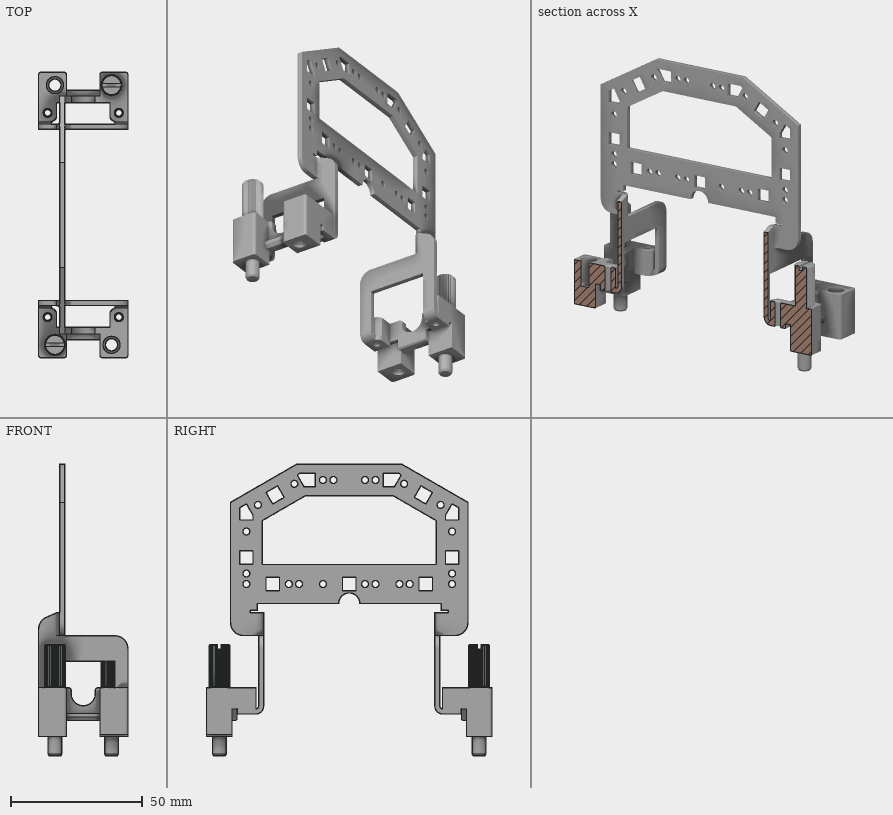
import cadquery as cq
import math

width = 34.0
length = 108.5
height = 110.7
half_width = width / 2
half_length = length / 2

sheet = 2.0
bend_inner = 1.1
bend_outer = bend_inner + sheet
sheet_corner = 5.0

frame_x = -9.0
frame_half = 45.0
frame_top_half = 19.9
slope = math.radians(30)
frame_border = 12.1
frame_bottom = 45.6
crossbar_bottom = 57.8
crossbar_top = 72.6
crossbar_half = 34.9
relief_radius = 4.0
slit_half = 37.5
slit_height = 0.9

side_inner = 32.4
side_outer = side_inner + sheet
bend_y = side_outer + bend_inner
bend_x = frame_x - bend_inner
tab_top = 54.4
tab_corner_z = 51.3
window_top = 35.9
leg_width = 5.0
foot_bottom = 15.8
foot_top = foot_bottom + sheet
foot_end = 42.4
bend_z = foot_top + bend_inner

block_top = 25.9
screw_block_bottom = 7.3
hole_block_bottom = 8.1
block_inner_x = 6.3
block_inner_y = 44.4
block_corner = 1.1
arm_inner_x = 10.1
arm_end_y = 35.3
arm_chamfer = 1.7

web_inner_y = 42.5
web_outer_y = 45.2
web_bottom = 13.4
web_chamfer = 0.5
saddle_radius = 4.5
saddle_bottom = 19.0
saddle_lip = 1.1
ledge_y = 47.4
ledge_top = 16.0
ledge_nose = 14.7
ledge_under_y = 46.4

screw_x = 10.7
screw_y = 49.3
bore_diameter = 6.5
bore_depth = 10.0
bore_through = 4.5
small_hole_x = 13.5
small_hole_y = 38.7
small_hole_diameter = 2.4
small_sink_diameter = 3.4
small_sink_depth = 0.5

head_diameter = 8.1
head_top = 42.2
head_chamfer = 0.4
knurl_teeth = 36
knurl_depth = 0.3
slot_width = 1.3
slot_depth = 1.7
pin_diameter = 5.3
pin_chamfer = 0.4
pin_chamfer_height = 0.8

pocket = 5.0
pocket_margin = 3.5
pocket_offset = pocket_margin + pocket / 2
column_y = frame_half - pocket_offset
column_pocket_z = 75.3
column_pocket_bottom = 89.6
crossbar_z = 65.2
crossbar_pocket_y = 29.0
slope_pocket_y = 28.1
top_pocket_y = 13.0
top_pocket_toe_y = 17.2
pin_hole = 2.5
slope_hole_ys = (20.8, 34.6)
column_hole_zs = (65.2, 69.2, 85.1)
top_hole_ys = (6.0, 10.0)
crossbar_hole_ys = (10.0, 19.0, 22.9)
crossbar_single_hole_y = 6.0


def block_of(x_range, y_range, z_range):
    """Box between the given limits."""
    size = [high - low for low, high in (x_range, y_range, z_range)]
    corner = (x_range[0], y_range[0], z_range[0])
    return cq.Workplane("XY").box(*size, centered=False).translate(corner)


def post(diameter, x, y, z_low, z_high):
    """Upright cylinder."""
    return cq.Workplane("XY", origin=(x, y, z_low)).circle(diameter / 2).extrude(z_high - z_low)


def with_mirror(solid):
    """Join a solid with its mirror image across the plane Y = 0."""
    return solid.union(solid.mirror("XZ"))


def slope_height(y, inset=0.0):
    """Height, at y, of the sloping outer edge moved inward by inset."""
    return height - (y - frame_top_half) * math.tan(slope) - inset / math.cos(slope)


def slope_reach(z, inset=0.0):
    """Y position, at height z, of the sloping outer edge moved inward by inset."""
    return frame_top_half + (height - z - inset / math.cos(slope)) / math.tan(slope)


def across_slope(y, z):
    """Point one pocket depth from (y, z), square to the sloping edge."""
    return (y + pocket * math.sin(slope), z + pocket * math.cos(slope))


def frame_plane(y=0.0, z=0.0):
    """Work plane on the frame face, with its origin at (y, z)."""
    return cq.Workplane("YZ", origin=(frame_x, y, z))


def frame_prism(points):
    """Outline in (y, z) carried through the frame thickness."""
    return frame_plane().polyline(points).close().extrude(sheet)


def frame_half_plate():
    """Outer shape of the +Y half, with the slits that free the bent tabs."""
    plate = frame_prism([
        (0, crossbar_bottom),
        (crossbar_half, crossbar_bottom),
        (crossbar_half, tab_top + slit_height),
        (slit_half, tab_top + slit_height),
        (slit_half, tab_top),
        (bend_y, tab_top),
        (bend_y, frame_bottom),
        (frame_half, frame_bottom),
        (frame_half, slope_height(frame_half)),
        (frame_top_half, height),
        (0, height),
    ])
    outer_corner = cq.NearestToPointSelector((frame_x + sheet / 2, frame_half, frame_bottom))
    return plate.edges("|X").edges(outer_corner).fillet(sheet_corner)


def square_pocket(y, z, turn=0.0):
    """Square cutter through the frame, turned by an angle in degrees."""
    return frame_plane(y, z).transformed(rotate=(0, 0, turn)).rect(pocket, pocket).extrude(sheet)


def corner_pockets():
    """The two clipped pockets where the sloping edge meets the column and the top."""
    column_inner = column_y - pocket / 2
    column_outer = column_y + pocket / 2
    column_toe = (column_inner, slope_height(column_inner, pocket_margin + pocket))
    column_pocket = frame_prism([
        (column_inner, column_pocket_bottom),
        column_toe,
        across_slope(*column_toe),
        (column_outer, slope_height(column_outer, pocket_margin)),
        (column_outer, column_pocket_bottom),
    ])
    top_edge = height - pocket_margin
    top_toe = (top_pocket_toe_y, top_edge - pocket)
    top_pocket = frame_prism([
        (top_pocket_y, top_edge),
        (top_pocket_y, top_edge - pocket),
        top_toe,
        across_slope(*top_toe),
        (slope_reach(top_edge, pocket_margin), top_edge),
    ])
    return column_pocket.union(top_pocket)


def frame_cuts():
    """Opening, pockets and holes of the +Y half."""
    opening_half = frame_half - frame_border
    opening_top = height - frame_border
    cuts = frame_prism([
        (0, crossbar_top),
        (opening_half, crossbar_top),
        (opening_half, slope_height(opening_half, frame_border)),
        (slope_reach(opening_top, frame_border), opening_top),
        (0, opening_top),
    ])
    cuts = cuts.union(frame_plane(0, crossbar_bottom).circle(relief_radius).extrude(sheet))
    cuts = cuts.union(corner_pockets())
    cuts = cuts.union(square_pocket(0, crossbar_z))
    cuts = cuts.union(square_pocket(crossbar_pocket_y, crossbar_z))
    cuts = cuts.union(square_pocket(column_y, column_pocket_z))
    slope_pocket_z = slope_height(slope_pocket_y, pocket_offset)
    cuts = cuts.union(square_pocket(slope_pocket_y, slope_pocket_z, -math.degrees(slope)))

    holes = [(y, slope_height(y, pocket_offset)) for y in slope_hole_ys]
    holes += [(column_y, z) for z in column_hole_zs]
    holes += [(y, height - pocket_offset) for y in top_hole_ys]
    holes += [(y, crossbar_z) for y in crossbar_hole_ys]
    return cuts.union(frame_plane().pushPoints(holes).circle(pin_hole / 2).extrude(sheet))


def upright_frame():
    """Complete frame with all its openings."""
    frame = with_mirror(frame_half_plate()).cut(with_mirror(frame_cuts()))
    return frame.cut(frame_plane(crossbar_single_hole_y, crossbar_z).circle(pin_hole / 2).extrude(sheet))


def side_plate():
    """Plate with window and open lower end, leaving two legs."""
    plate = (
        cq.Workplane("XZ", origin=(0, side_outer, 0))
        .moveTo(-half_width, bend_z)
        .lineTo(-half_width, tab_corner_z)
        .lineTo(bend_x, tab_top)
        .lineTo(bend_x, frame_bottom)
        .lineTo(half_width, frame_bottom)
        .lineTo(half_width, bend_z)
        .close()
        .extrude(sheet)
    )
    for corner in ((-half_width, tab_corner_z), (half_width, frame_bottom)):
        nearest = cq.NearestToPointSelector((corner[0], side_outer - sheet / 2, corner[1]))
        plate = plate.edges("|Y").edges(nearest).fillet(sheet_corner)
    window_half = half_width - leg_width
    window = block_of((-window_half, window_half), (side_inner, side_outer), (bend_z, window_top))
    return plate.cut(window)


def quarter_ring(plane):
    """Closed quarter ring in the third quadrant of a plane whose origin is the bend axis."""
    mid = math.sqrt(0.5)
    return (
        plane.moveTo(-bend_outer, 0)
        .threePointArc((-bend_outer * mid, -bend_outer * mid), (0, -bend_outer))
        .lineTo(0, -bend_inner)
        .threePointArc((-bend_inner * mid, -bend_inner * mid), (-bend_inner, 0))
        .close()
    )


def frame_bend():
    """Upright bend that carries the side plate into the frame."""
    plane = cq.Workplane("XY", origin=(bend_x, bend_y, frame_bottom))
    ring = quarter_ring(plane).extrude(tab_top - frame_bottom)
    return ring.mirror("YZ", (bend_x, 0, 0))


def leg_foot():
    """Bend below the +X leg and the flat foot, which widens to match the block arm."""
    leg_inner_x = half_width - leg_width
    bend = quarter_ring(cq.Workplane("YZ", origin=(leg_inner_x, bend_y, bend_z))).extrude(leg_width)
    flat = block_of((arm_inner_x, half_width), (bend_y, foot_end), (foot_bottom, foot_top))
    flat = flat.edges("|Z and <X and <Y").fillet(leg_inner_x - arm_inner_x)
    return bend.union(flat)


def clamp_sheet():
    """All bent sheet between the frame and the blocks."""
    foot = leg_foot()
    return side_plate().union(frame_bend()).union(foot).union(foot.mirror("YZ"))


def clamp_block(bottom):
    """Block on the +X side: leg, and an arm reaching towards the side plate."""
    leg = block_of((block_inner_x, half_width), (block_inner_y, half_length), (bottom, block_top))
    leg = leg.edges("|Z and >Y").fillet(block_corner)
    arm = block_of((arm_inner_x, half_width), (arm_end_y, block_inner_y), (foot_top, block_top))
    arm = arm.edges("|Z and <X and <Y").chamfer(arm_chamfer)
    return leg.union(arm)


def web():
    """Saddle plate between the blocks with a ledge, chamfered beneath, along its outer side."""
    profile = [
        (web_inner_y + web_chamfer, web_bottom),
        (ledge_under_y, web_bottom),
        (ledge_y, ledge_nose),
        (ledge_y, ledge_top),
        (web_outer_y, ledge_top),
        (web_outer_y, block_top),
        (web_inner_y, block_top),
        (web_inner_y, web_bottom + web_chamfer),
    ]
    plate = (
        cq.Workplane("YZ", origin=(-block_inner_x, 0, 0))
        .polyline(profile)
        .close()
        .extrude(2 * block_inner_x)
    )
    for x_low in (-arm_inner_x, block_inner_x):
        x_range = (x_low, x_low + arm_inner_x - block_inner_x)
        plate = plate.union(block_of(x_range, (web_inner_y, web_outer_y), (foot_top, block_top)))
    saddle_z = saddle_bottom + saddle_radius
    lip_z = block_top - saddle_lip
    saddle_half = saddle_radius + saddle_lip
    saddle = (
        cq.Workplane("XZ", origin=(0, web_outer_y, 0))
        .moveTo(-saddle_half, block_top)
        .radiusArc((-saddle_radius, lip_z), saddle_lip)
        .lineTo(-saddle_radius, saddle_z)
        .threePointArc((0, saddle_bottom), (saddle_radius, saddle_z))
        .lineTo(saddle_radius, lip_z)
        .radiusArc((saddle_half, block_top), saddle_lip)
        .close()
        .extrude(web_outer_y - web_inner_y)
    )
    return plate.cut(saddle)


def small_hole(x, y):
    """Countersunk hole through the arm and the foot."""
    hole = post(small_hole_diameter, x, y, foot_bottom, block_top)
    sink = (
        cq.Workplane("XY", origin=(x, y, block_top))
        .circle(small_sink_diameter / 2)
        .workplane(offset=-small_sink_depth)
        .circle(small_hole_diameter / 2)
        .loft()
    )
    return hole.union(sink)


def clamp_blocks():
    """Blocks and web; the screw block is on the +X side."""
    screw_block = clamp_block(screw_block_bottom)
    hole_block = clamp_block(hole_block_bottom).mirror("YZ")
    return web().union(screw_block).union(hole_block)


def thumb_screw(x, y):
    """Knurled slotted head above a block and a plain pin below it."""
    radius = head_diameter / 2
    rim = []
    for step in range(2 * knurl_teeth):
        reach = radius - knurl_depth * (step % 2)
        angle = math.pi * step / knurl_teeth
        rim.append((reach * math.cos(angle), reach * math.sin(angle)))
    head = cq.Workplane("XY", origin=(x, y, block_top)).polyline(rim).close().extrude(head_top - block_top)
    envelope = post(head_diameter, x, y, block_top, head_top).faces("<Z or >Z").chamfer(head_chamfer)
    slot = block_of(
        (x - radius, x + radius),
        (y - slot_width / 2, y + slot_width / 2),
        (head_top - slot_depth, head_top),
    )
    pin = post(pin_diameter, x, y, 0, screw_block_bottom).faces("<Z").chamfer(pin_chamfer_height, pin_chamfer)
    return head.intersect(envelope).cut(slot).union(pin)


def screw_hole(x, y):
    """Stepped through hole, wide at the top."""
    bore = post(bore_diameter, x, y, block_top - bore_depth, block_top)
    return bore.union(post(bore_through, x, y, hole_block_bottom, block_top))


blocks = clamp_blocks()
result = upright_frame().union(with_mirror(clamp_sheet()))
result = result.union(blocks).union(blocks.rotate((0, 0, 0), (0, 0, 1), 180))
for y_side in (-1, 1):
    for x_side in (-1, 1):
        result = result.cut(small_hole(x_side * small_hole_x, y_side * small_hole_y))
    result = result.union(thumb_screw(y_side * screw_x, y_side * screw_y))
    result = result.cut(screw_hole(-y_side * screw_x, y_side * screw_y))